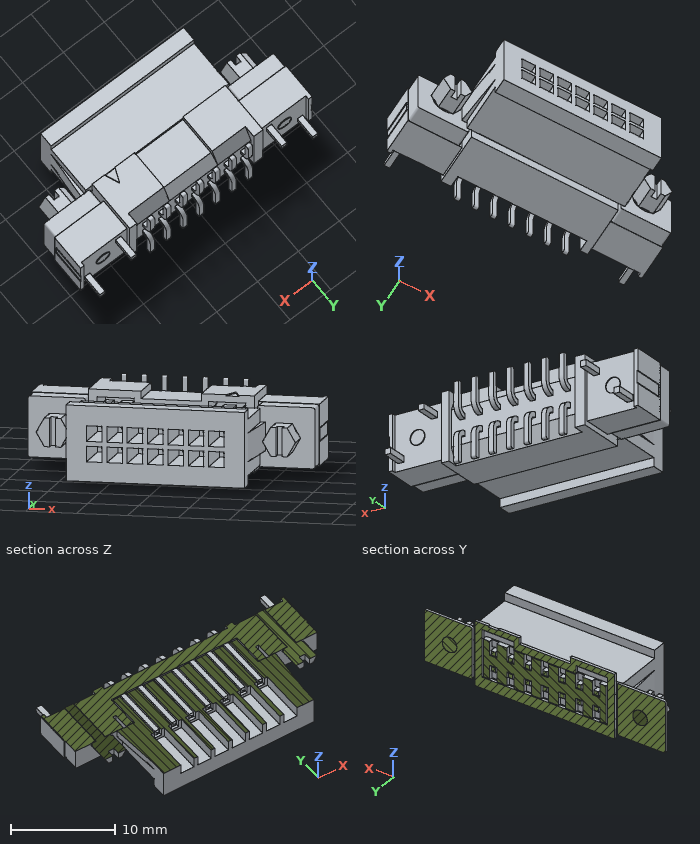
import cadquery as cq
import math

contact_count = 7
contact_pitch = 2.0
contact_xs = [(i - (contact_count - 1) / 2) * contact_pitch for i in range(contact_count)]
sides = (-1, 1)

front_y = -0.27
back_y = 5.11
foot_y = 5.54
body_half_x = 8.16
body_bottom_z = -3.6
pad_top_z = 3.92
middle_top_z = 3.18
pad_inner_x = 2.96
left_foot_inner_x = 7.03
right_foot_inner_x = 7.3
middle_bevel_y = 4.06
pad_bevel_y = 4.24
bevel_end_z = 1.96

flange_half_z = 3.04
flange_end_x = 14.19
flange_root_x = 7.7
flange_step_y = 1.5
block_end_x = 14.1
block_half_z = 3.0
block_inner_x = 8.45
block_round = 0.22
end_foot_width = 0.45
end_groove_front_y = 1.74
end_groove_half_z = 0.65
end_groove_depth = 0.08

leg_width = 0.65
leg_tip_y = 7.485
leg_root_depth = 1.0
leg_z = 1.88
inner_leg_x = 9.23
outer_leg_x = 13.03

cavity_half_x = 7.3
cavity_half_z = 2.25
cavity_floor_y = 3.5
keyway_inner_x = 3.65
mark_x = 6.0
mark_half_width = 0.63
mark_length = 1.54
mark_depth = 0.12

pin_size = 0.54
pin_z = 0.92
pin_back_y = 6.34
pin_top_z = 4.315
pin_front_y = -2.5
pin_bend_radius = 1.2
pin_taper = 0.16
pin_end_round = 0.2

plug_half_x = 8.77
plug_front_y = -7.485
head_half_z = 3.72
head_back_y = -5.84
plug_body_half_z = 2.78
plug_body_back_y = -0.5
neck_half_x = 7.2
neck_half_z = 2.2
neck_back_y = 3.4
wing_half_z = 1.41
wing_half_x = 9.23
socket_size = 1.52
socket_z = 1.0
socket_depth = 5.0
passage_size = 0.8
slot_front_y = -0.36

screw_x = 11.12
hex_across_corners = 3.24
hex_front_y = -2.78
hex_back_y = -0.45
collar_diameter = 2.6
screw_diameter = 1.63
screw_tip_y = 5.2
driver_slot_width = 0.62
driver_slot_depth = 0.76


def box(x_ends, y_ends, z_ends):
    """Box between the given pairs of coordinates."""
    return (
        cq.Workplane("XY")
        .box(
            abs(x_ends[1] - x_ends[0]),
            abs(y_ends[1] - y_ends[0]),
            abs(z_ends[1] - z_ends[0]),
        )
        .translate((sum(x_ends) / 2, sum(y_ends) / 2, sum(z_ends) / 2))
    )


def y_cylinder(x, diameter, y_start, y_end):
    """Round bar along Y."""
    plane = cq.Workplane("XZ", origin=(x, y_start, 0))
    return plane.circle(diameter / 2).extrude(y_start - y_end)


def x_prism(points, half_x):
    """Prism along X, centred on x = 0, from a (y, z) outline."""
    return cq.Workplane("YZ").polyline(points).close().extrude(half_x, both=True)


def body_section(top_z, bevel_y, half_x):
    """Length of housing whose back edges are bevelled above and below."""
    outline = [
        (front_y, body_bottom_z),
        (bevel_y, body_bottom_z),
        (back_y, -bevel_end_z),
        (back_y, bevel_end_z),
        (bevel_y, top_z),
        (front_y, top_z),
    ]
    return x_prism(outline, half_x)


def housing_body():
    body = body_section(pad_top_z, pad_bevel_y, body_half_x)
    gap_above_middle = box(
        (-pad_inner_x, pad_inner_x), (front_y, foot_y), (bevel_end_z, pad_top_z)
    )
    middle = body_section(middle_top_z, middle_bevel_y, pad_inner_x)
    body = body.cut(gap_above_middle).union(middle)
    for side, foot_inner_x in ((-1, left_foot_inner_x), (1, right_foot_inner_x)):
        foot = box(
            (side * foot_inner_x, side * body_half_x),
            (front_y, foot_y),
            (body_bottom_z, pad_top_z),
        )
        body = body.union(foot)
    return body


def flange(side):
    """Mounting ear: rear slab with a foot at its end, and a rounded front block."""
    full_z = (-flange_half_z, flange_half_z)
    slab = box((side * flange_root_x, side * flange_end_x), (flange_step_y, back_y), full_z)
    foot_inner_end = flange_end_x - end_foot_width
    end_foot = box((side * foot_inner_end, side * flange_end_x), (flange_step_y, foot_y), full_z)
    front_block = (
        box(
            (side * block_inner_x, side * block_end_x),
            (front_y, flange_step_y),
            (-block_half_z, block_half_z),
        )
        .edges("|Y")
        .fillet(block_round)
    )
    end_groove = box(
        (side * (flange_end_x - end_groove_depth), side * flange_end_x),
        (end_groove_front_y, foot_y),
        (-end_groove_half_z, end_groove_half_z),
    )
    return slab.union(end_foot).union(front_block).cut(end_groove)


def board_lock_legs(side):
    """Two legs behind a flange, set on a diagonal."""
    half = leg_width / 2
    legs = []
    for x, z in ((inner_leg_x, leg_z), (outer_leg_x, -leg_z)):
        leg = box(
            (side * x - half, side * x + half),
            (back_y - leg_root_depth, leg_tip_y),
            (z - half, z + half),
        )
        legs.append(leg)
    return legs


def bent_pin(x, side):
    """Right-angle pin: a straight mating end, a bend, and an upright end pointing along side * Z."""
    inner_radius = pin_bend_radius - pin_size
    centre_y = pin_back_y - pin_bend_radius
    outer_z = pin_z - pin_size / 2
    inner_z = pin_z + pin_size / 2
    centre_z = outer_z + pin_bend_radius
    inner_y = pin_back_y - pin_size
    diagonal = math.sqrt(0.5)
    pin = (
        cq.Workplane("YZ", origin=(x, 0, 0))
        .moveTo(pin_front_y, outer_z)
        .lineTo(centre_y, outer_z)
        .threePointArc(
            (centre_y + pin_bend_radius * diagonal, centre_z - pin_bend_radius * diagonal),
            (pin_back_y, centre_z),
        )
        .lineTo(pin_back_y, pin_top_z)
        .lineTo(inner_y, pin_top_z)
        .lineTo(inner_y, centre_z)
        .threePointArc(
            (centre_y + inner_radius * diagonal, centre_z - inner_radius * diagonal),
            (centre_y, inner_z),
        )
        .lineTo(pin_front_y, inner_z)
        .close()
        .extrude(pin_size / 2, both=True)
        .faces("<Y")
        .chamfer(pin_taper)
        .faces(">Z")
        .edges("|X")
        .fillet(pin_end_round)
    )
    if side < 0:
        pin = pin.mirror("XY")
    return pin


def pin_one_mark():
    """Shallow triangle in the top of one pad."""
    return (
        cq.Workplane("XY", origin=(0, 0, pad_top_z))
        .moveTo(mark_x - mark_half_width, front_y)
        .lineTo(mark_x + mark_half_width, front_y)
        .lineTo(mark_x, front_y + mark_length)
        .close()
        .extrude(-mark_depth)
    )


def make_header():
    header = housing_body()
    cavity_y = (front_y, cavity_floor_y)
    header = header.cut(
        box((-cavity_half_x, cavity_half_x), cavity_y, (-cavity_half_z, cavity_half_z))
    )
    for side in sides:
        keyway = box((side * keyway_inner_x, side * cavity_half_x), cavity_y, (0, middle_top_z))
        header = header.cut(keyway)
        header = header.union(flange(side))
        for leg in board_lock_legs(side):
            header = header.union(leg)
        header = header.cut(y_cylinder(side * screw_x, screw_diameter, front_y, back_y))
    header = header.cut(pin_one_mark())
    for x in contact_xs:
        for side in sides:
            header = header.union(bent_pin(x, side))
    return header


def plug_wings():
    """Side wings that narrow from the header face down to the width of the plug body."""
    return (
        cq.Workplane("XY", origin=(0, 0, -wing_half_z))
        .moveTo(-wing_half_x, front_y)
        .lineTo(wing_half_x, front_y)
        .lineTo(plug_half_x, head_back_y)
        .lineTo(-plug_half_x, head_back_y)
        .close()
        .extrude(2 * wing_half_z)
    )


def contact_opening(x, side):
    """Square socket, a narrower passage behind it, and a slot open to the outside of the neck."""
    half_socket = socket_size / 2
    half_passage = passage_size / 2
    z = side * socket_z
    passage_x = (x - half_passage, x + half_passage)
    socket = box(
        (x - half_socket, x + half_socket),
        (plug_front_y, plug_front_y + socket_depth),
        (z - half_socket, z + half_socket),
    )
    passage = box(passage_x, (plug_front_y, neck_back_y), (z - half_passage, z + half_passage))
    slot = box(passage_x, (slot_front_y, neck_back_y), (z, side * neck_half_z))
    return socket.union(passage).union(slot)


def make_plug():
    plug_x = (-plug_half_x, plug_half_x)
    head = box(plug_x, (plug_front_y, head_back_y), (-head_half_z, head_half_z))
    body = box(plug_x, (head_back_y, plug_body_back_y), (-plug_body_half_z, plug_body_half_z))
    neck = box(
        (-neck_half_x, neck_half_x), (plug_body_back_y, neck_back_y), (-neck_half_z, neck_half_z)
    )
    plug = head.union(body).union(neck).union(plug_wings())
    for x in contact_xs:
        for side in sides:
            plug = plug.cut(contact_opening(x, side))
    return plug


def make_jack_screw(side):
    x = side * screw_x
    hex_head = (
        cq.Workplane("XZ", origin=(x, hex_back_y, 0))
        .polygon(6, hex_across_corners)
        .extrude(hex_back_y - hex_front_y)
    )
    collar = y_cylinder(x, collar_diameter, hex_back_y, front_y)
    shank = y_cylinder(x, screw_diameter, front_y, screw_tip_y)
    driver_slot = box(
        (x - driver_slot_width / 2, x + driver_slot_width / 2),
        (hex_front_y, hex_front_y + driver_slot_depth),
        (-hex_across_corners, hex_across_corners),
    )
    return hex_head.union(collar).union(shank).cut(driver_slot)


header = make_header()
plug = make_plug()
jack_screws = [make_jack_screw(side) for side in sides]

result = cq.Compound.makeCompound(
    [header.val(), plug.val(), *[screw.val() for screw in jack_screws]]
)